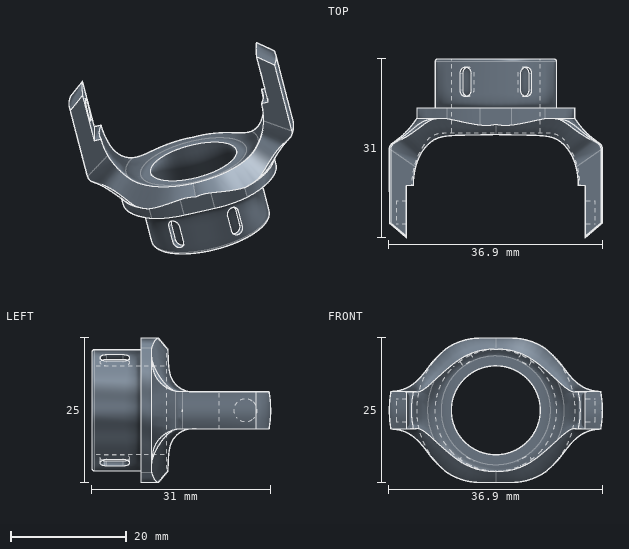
import cadquery as cq
import math


sleeve_radius = 10.53
sleeve_length = 8.5
sleeve_edge_round = 0.48
bore_radius = 7.68

slot_width = 2.2
slot_length = 5.1
slot_depth = 1.0
slot_center_y = 4.5
slot_angles = (30, 150, 210, 330)

ring_half_height = 12.52
top_flat_half_width = 2.75
shoulder_radius = 10.25
shoulder_sweep = math.radians(49.7)
arm_half_width = 3.25
arm_radius = 18.45

flange_radius = 13.7
flange_depth = 1.8
front_y = -4.7
cone_mid = (15.6, -4.2)
cone_end = (17.73, -6.0)
elbow_mid = (18.28, -6.5)
elbow_end_y = -7.25
arm_corner_y = -19.95
tip_y = -22.5

bowl_floor_radius = 9.45
bowl_floor_y = -4.4
bowl_rim_radius = 10.67
bowl_wall_mid = (13.5, -8.25)
bowl_wall_end = (11.8, -5.5)
bowl_mouth_radius = 14.62
step_y = -13.48
tip_gap_half = 15.47

pivot_diameter = 4.0
pivot_depth = 1.7
pivot_y = -18.1

ruling_overrun = 0.5
cutter_reach = 22.15


def make_yoke_profile():
    """Solid of revolution carrying the flange, the arms and the bowl."""
    return (
        cq.Workplane("XY")
        .lineTo(flange_radius, 0)
        .lineTo(flange_radius, -flange_depth)
        .threePointArc(cone_mid, cone_end)
        .threePointArc(elbow_mid, (arm_radius, elbow_end_y))
        .lineTo(arm_radius, arm_corner_y)
        .lineTo(tip_gap_half, tip_y)
        .lineTo(bowl_mouth_radius, tip_y)
        .lineTo(bowl_mouth_radius, step_y)
        .threePointArc(bowl_wall_mid, bowl_wall_end)
        .threePointArc((bowl_rim_radius, front_y), (bowl_floor_radius, bowl_floor_y))
        .lineTo(0, bowl_floor_y)
        .close()
        .revolve(360, (0, 0, 0), (0, 1, 0))
    )


def make_outline_prism():
    """Ring outline that sweeps through concave flanks into the two arms."""
    shoulder_center_z = ring_half_height - shoulder_radius
    shoulder_mid = (
        top_flat_half_width + shoulder_radius * math.sin(shoulder_sweep / 2),
        shoulder_center_z + shoulder_radius * math.cos(shoulder_sweep / 2),
    )
    shoulder_end = (
        top_flat_half_width + shoulder_radius * math.sin(shoulder_sweep),
        shoulder_center_z + shoulder_radius * math.cos(shoulder_sweep),
    )
    flank_slope = (math.cos(shoulder_sweep), -math.sin(shoulder_sweep))
    quarter = (
        cq.Workplane("XZ")
        .lineTo(0, ring_half_height)
        .lineTo(top_flat_half_width, ring_half_height)
        .threePointArc(shoulder_mid, shoulder_end)
        .spline([(arm_radius, arm_half_width)], tangents=[flank_slope, (1, 0)], includeCurrent=True)
        .lineTo(arm_radius, 0)
        .close()
        .extrude(-tip_y)
    )
    half = quarter.union(quarter.mirror("YZ"))
    return half.union(half.mirror("XY"))


outer_edge = [
    (0, -2.85, ring_half_height),
    (6.65, -2.0, 11.75),
    (10.4, -flange_depth, 8.9),
    (13.65, -3.32, 5.4),
    (18.1, -7.3, arm_half_width),
]
inner_edge = [
    (0, front_y, 10.5),
    (3.7, front_y, 9.75),
    (6.85, front_y, 8.25),
    (10.15, -5.85, 5.15),
    (13.75, -10.35, arm_half_width),
]


def beyond(start, end):
    """Point past `end` on the line from `start`."""
    return tuple(e + ruling_overrun * (e - s) for s, e in zip(start, end))


def make_slope_cutter():
    """Material in front of the ruled face of one quarter of the yoke."""
    outer = [beyond(i, o) for i, o in zip(inner_edge, outer_edge)]
    inner = [beyond(o, i) for i, o in zip(inner_edge, outer_edge)]
    away = cq.Vector(0, -cutter_reach, cutter_reach)
    near_edges = [cq.Edge.makeSpline([cq.Vector(*p) for p in pts]) for pts in (outer, inner)]
    far_edges = [edge.translate(away) for edge in near_edges]
    loop = [near_edges[0], near_edges[1], far_edges[1], far_edges[0]]
    sides = [cq.Face.makeRuledSurface(loop[k], loop[(k + 1) % 4]) for k in range(4)]
    ends = []
    for place in (0, 1):
        corners = [edge.positionAt(place) for edge in loop]
        ends.append(cq.Face.makeFromWires(cq.Wire.makePolygon(corners, close=True)))
    return cq.Workplane(cq.Solid.makeSolid(cq.Shell.makeShell(sides + ends)))


def make_arm_side_cutter():
    """Space beside the flat face of one arm, ahead of the sloped face."""
    root_outer = beyond(inner_edge[-1], outer_edge[-1])
    root_inner = beyond(outer_edge[-1], inner_edge[-1])
    return (
        cq.Workplane("XY", origin=(0, 0, arm_half_width))
        .polyline([
            root_outer[:2],
            root_inner[:2],
            (0, root_inner[1]),
            (0, tip_y),
            (root_outer[0], tip_y),
        ])
        .close()
        .extrude(cutter_reach)
    )


def make_sleeve():
    return (
        cq.Workplane("XZ")
        .circle(sleeve_radius)
        .extrude(-sleeve_length)
        .faces(">Y")
        .edges()
        .fillet(sleeve_edge_round)
    )


def make_slot(angle):
    """Blind radial slot, turned by `angle` degrees from +Z about the bore axis."""
    return (
        cq.Workplane("XY", origin=(0, 0, sleeve_radius - slot_depth))
        .center(0, slot_center_y)
        .slot2D(slot_length, slot_width, 90)
        .extrude(2 * slot_depth)
        .rotate((0, 0, 0), (0, 1, 0), angle)
    )


def make_pivot_holes():
    half_span = tip_gap_half + pivot_depth
    return (
        cq.Workplane("YZ", origin=(-half_span, pivot_y, 0))
        .circle(pivot_diameter / 2)
        .extrude(2 * half_span)
    )


yoke = make_yoke_profile().intersect(make_outline_prism())
for cutter in (make_slope_cutter(), make_arm_side_cutter()):
    for left_right in (cutter, cutter.mirror("YZ")):
        yoke = yoke.cut(left_right).cut(left_right.mirror("XY"))

tip_gap = cq.Workplane("XY").box(2 * tip_gap_half, step_y - tip_y, 2 * arm_radius)
yoke = yoke.cut(tip_gap.translate((0, (step_y + tip_y) / 2, 0))).cut(make_pivot_holes())

body = yoke.union(make_sleeve())
bore = cq.Workplane("XZ", origin=(0, sleeve_length, 0)).circle(bore_radius).extrude(sleeve_length - front_y)
body = body.cut(bore)
for slot_angle in slot_angles:
    body = body.cut(make_slot(slot_angle))

result = body